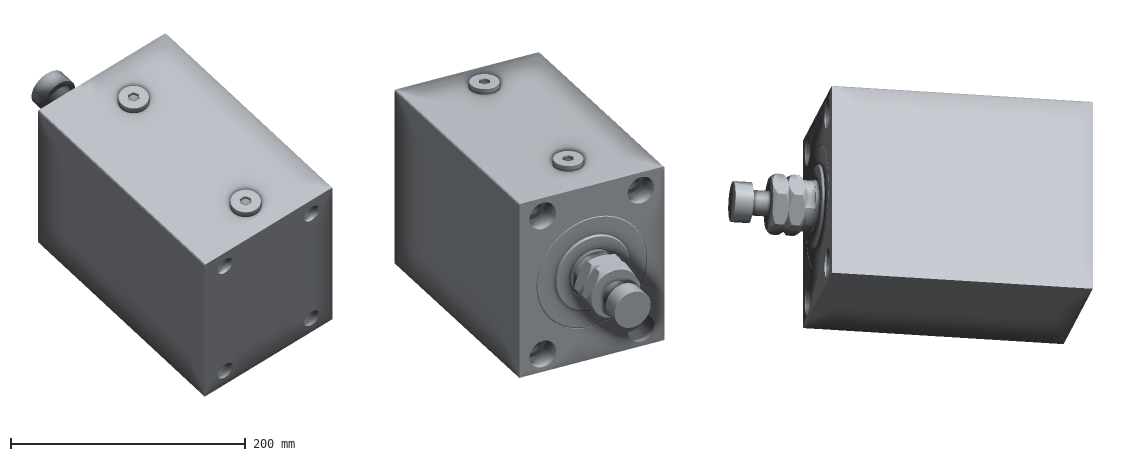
import cadquery as cq
import math


BLOCK_START = 74.0
BLOCK_LENGTH = 226.0
BLOCK_WIDTH = 140.0
BLOCK_HEIGHT = 169.8
BLOCK_EDGE_CHAMFER = 1.0

HOLE_SPACING_Y = 94.8
HOLE_SPACING_Z = 135.0
HOLE_DIAMETER = 16.8
COUNTERBORE_DIAMETER = 25.5
COUNTERBORE_DEPTH = 19.5

GLAND_DIAMETER = 106.8
GLAND_DEPTH = 24.0
GLAND_NOSE_DIAMETER = 72.0
GLAND_NOSE_LENGTH = 2.5
GLAND_CHAMFER = 1.0
GLAND_BORE_CHAMFER = 0.5

ROD_START = 60.0
ROD_DIAMETER = 45.5
ROD_FLATS_LENGTH = 8.7
ROD_FLATS_DIAMETER = 44.0
ROD_ACROSS_FLATS = 40.2

PIN_HEAD_DIAMETER = 35.0
PIN_HEAD_LENGTH = 16.0
PIN_HEAD_CHAMFER = 0.3
PIN_NECK_DIAMETER = 22.0
PIN_NECK_END = 31.8
PIN_NECK_FILLET = 1.5
HEX_COUNT = 2
HEX_ACROSS_FLATS = 46.0
HEX_FACE_DIAMETER = 45.5
HEX_LENGTH = (ROD_START - PIN_NECK_END) / HEX_COUNT

PLUG_OFFSETS = (43.0, 194.7)
PLUG_DIAMETER = 26.0
PLUG_CHAMFER = 0.3
PLUG_HEIGHT = 5.0
PLUG_SOCKET_ACROSS_FLATS = 9.3
PLUG_SOCKET_DEPTH = 2.7
SPOTFACE_DIAMETER = 28.0
SPOTFACE_DEPTH = 1.5

BLOCK_TOP = BLOCK_HEIGHT / 2
GLAND_END = BLOCK_START + GLAND_DEPTH


def hexagon_diameter(across_flats):
    """Diameter of the circle through the corners of a hexagon."""
    return across_flats / math.cos(math.pi / 6)


def rod_axis_plane(x):
    """Plane across the rod axis at x, with local axes Y and Z and its normal along +X."""
    return cq.Workplane("YZ", origin=(x, 0, 0))


def cylinder(start, end, diameter):
    """Cylinder on the rod axis from start to end."""
    return rod_axis_plane(start).circle(diameter / 2).extrude(end - start)


def plug_plane(offset, z):
    """Horizontal plane at height z, centred on the plug that sits at this offset along the block."""
    return cq.Workplane("XY", origin=(BLOCK_START + offset, 0, z))


def make_block():
    block = rod_axis_plane(BLOCK_START).rect(BLOCK_WIDTH, BLOCK_HEIGHT).extrude(BLOCK_LENGTH)
    block = block.edges("|X and >Z").chamfer(BLOCK_EDGE_CHAMFER)
    block = (
        block.faces("<X").workplane(origin=(BLOCK_START, 0, 0))
        .rect(HOLE_SPACING_Y, HOLE_SPACING_Z, forConstruction=True).vertices()
        .cboreHole(HOLE_DIAMETER, COUNTERBORE_DIAMETER, COUNTERBORE_DEPTH)
    )
    block = block.cut(cylinder(BLOCK_START, GLAND_END, GLAND_DIAMETER))
    for offset in PLUG_OFFSETS:
        spotface = plug_plane(offset, BLOCK_TOP).circle(SPOTFACE_DIAMETER / 2).extrude(-SPOTFACE_DEPTH)
        block = block.cut(spotface)
    return block


def make_gland():
    flange = cylinder(BLOCK_START, GLAND_END, GLAND_DIAMETER).faces("<X").chamfer(GLAND_CHAMFER)
    nose = cylinder(BLOCK_START - GLAND_NOSE_LENGTH, BLOCK_START, GLAND_NOSE_DIAMETER)
    nose = nose.faces("<X").chamfer(GLAND_CHAMFER)
    rod_bore = cylinder(BLOCK_START - GLAND_NOSE_LENGTH, GLAND_END, ROD_DIAMETER)
    gland = flange.union(nose).cut(rod_bore)
    bore_rim = gland.faces("<X").edges(cq.selectors.RadiusNthSelector(0))
    return bore_rim.chamfer(GLAND_BORE_CHAMFER)


def make_rod():
    flats_end = ROD_START + ROD_FLATS_LENGTH
    shaft = cylinder(flats_end, GLAND_END, ROD_DIAMETER)
    square = rod_axis_plane(ROD_START).rect(ROD_ACROSS_FLATS, ROD_ACROSS_FLATS).extrude(ROD_FLATS_LENGTH)
    flats = cylinder(ROD_START, flats_end, ROD_FLATS_DIAMETER).intersect(square)
    return shaft.union(flats)


def make_hex_collar(start):
    """Hexagonal collar whose corners are chamfered at 45 degrees on both faces."""
    corner_diameter = hexagon_diameter(HEX_ACROSS_FLATS)
    chamfer = (corner_diameter - HEX_FACE_DIAMETER) / 2
    prism = rod_axis_plane(start).polygon(6, corner_diameter).extrude(HEX_LENGTH)
    envelope = cylinder(start, start + HEX_LENGTH, corner_diameter).faces("<X or >X").chamfer(chamfer)
    return prism.intersect(envelope)


def make_pin():
    neck_radius = PIN_NECK_DIAMETER / 2
    foot_radius = neck_radius + PIN_NECK_FILLET
    arc_offset = PIN_NECK_FILLET * (1 - math.sqrt(0.5))
    pin = (
        cq.Workplane("XY")
        .lineTo(0, PIN_HEAD_DIAMETER / 2)
        .lineTo(PIN_HEAD_LENGTH, PIN_HEAD_DIAMETER / 2)
        .lineTo(PIN_HEAD_LENGTH, foot_radius)
        .threePointArc(
            (PIN_HEAD_LENGTH + arc_offset, neck_radius + arc_offset),
            (PIN_HEAD_LENGTH + PIN_NECK_FILLET, neck_radius),
        )
        .lineTo(PIN_NECK_END - PIN_NECK_FILLET, neck_radius)
        .threePointArc(
            (PIN_NECK_END - arc_offset, neck_radius + arc_offset),
            (PIN_NECK_END, foot_radius),
        )
        .lineTo(PIN_NECK_END, 0)
        .close()
        .revolve(360, (0, 0, 0), (1, 0, 0))
    )
    pin = pin.faces("<X").chamfer(PIN_HEAD_CHAMFER)
    for index in range(HEX_COUNT):
        pin = pin.union(make_hex_collar(PIN_NECK_END + index * HEX_LENGTH))
    return pin


def make_plug(offset):
    plug_top = BLOCK_TOP + PLUG_HEIGHT
    plug = plug_plane(offset, plug_top).circle(PLUG_DIAMETER / 2).extrude(-(PLUG_HEIGHT + SPOTFACE_DEPTH))
    plug = plug.faces(">Z").chamfer(PLUG_CHAMFER)
    socket = (
        plug_plane(offset, plug_top)
        .transformed(rotate=(0, 0, 30))
        .polygon(6, hexagon_diameter(PLUG_SOCKET_ACROSS_FLATS))
        .extrude(-PLUG_SOCKET_DEPTH)
    )
    return plug.cut(socket)


block = make_block()
gland = make_gland()
rod = make_rod()
pin = make_pin()
plugs = [make_plug(offset) for offset in PLUG_OFFSETS]

result = cq.Compound.makeCompound(
    [block.val(), gland.val(), rod.val(), pin.val(), *[plug.val() for plug in plugs]]
)